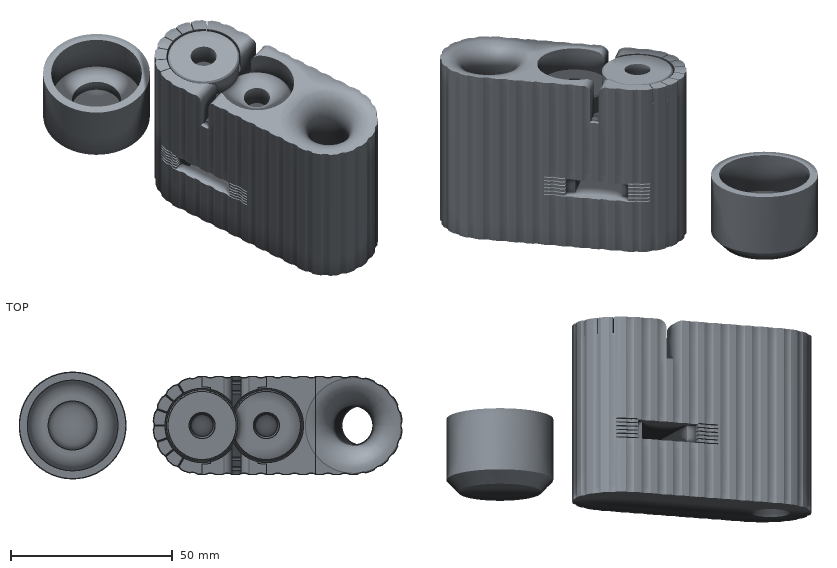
import cadquery as cq
import math

overall_length = 118.2
housing_height = 55.2
end_radius = 15.1
end_spacing = 46.7
disc_pitch = 19.8
disc_middle = disc_pitch / 2

flute_width = 3.0
flute_depth = 0.38
straight_flutes = 9
flute_pitch = end_spacing / straight_flutes
end_flute_step = 20
end_flute_half_angle = 5
end_flute_angles = range(-80, 81, end_flute_step)

disc_radius = 11.0
disc_thickness = 6.7
disc_chamfer = 0.5
disc_hole_top_diameter = 8.0
disc_hole_bottom_diameter = 6.7
disc_hole_depth = 6.1
pocket_radius = 11.5
upper_disc_floor = housing_height - disc_thickness
lower_disc_floor = upper_disc_floor - disc_thickness

notch_width = 0.4
notch_depth = 5.1
notch_angles = range(120, 241, end_flute_step)

slot_center = 10.6
slot_width = 2.7
slot_depth = 12.3
slot_lip_radius = 2.5
slot_groove_radius = 0.6
slot_groove_places = (10.3, 13.2)

opening_bottom = 17.0
window_height = 5.9
insert_bottom = opening_bottom + window_height
opening_inner_length = 14.8
opening_wall_radius = 11.9

block_face = disc_pitch + end_radius

slit_length = 6.6
slit_height = 0.4
slit_pitch = 1.2
slit_count = 6
slit_inner_face = 12.8

funnel_radius = 14.8
funnel_curve_radius = 9.0
throat_radius = 6.0
funnel_curve_center = throat_radius + funnel_curve_radius
funnel_depth = math.sqrt(funnel_curve_radius**2 - (funnel_curve_center - funnel_radius) ** 2)
throat_height = housing_height - funnel_depth
hole_shift = 2.5

cup_radius = 16.48
cup_height = 23.0
cup_base_radius = 12.9
cup_taper_height = 3.8
cup_bore_radius = 14.0
cup_bore_depth = 12.2
cup_recess_radius = 7.6
cup_recess_depth = 3.5
end_reach = end_radius * math.cos(math.radians(end_flute_half_angle))
cup_center = end_spacing + end_reach + cup_radius - overall_length


def cylinder(radius, height, x, y, z):
    return cq.Workplane("XY", origin=(x, y, z)).circle(radius).extrude(height)


def block(length, width, height, x, y, z):
    """Box centred on (x, y) that stands on height z."""
    return cq.Workplane("XY", origin=(x, y, z)).box(length, width, height, centered=(True, True, False))


def end_point(center_x, radius, angle):
    """Point at an angle around one of the two end axes."""
    turn = math.radians(angle)
    return (center_x + radius * math.cos(turn), radius * math.sin(turn))


def straight_side(outline, first_x, direction):
    """Flats and flutes along one long face, walked in the given X direction."""
    face_y = -direction * end_radius
    bottom_y = -direction * (end_radius - flute_depth)
    for index in range(straight_flutes):
        x = first_x + direction * (index + 0.5) * flute_pitch
        reach = direction * flute_width / 2
        outline = outline.lineTo(x - reach, face_y)
        outline = outline.threePointArc((x, bottom_y), (x + reach, face_y))
    return outline.lineTo(first_x + direction * end_spacing, face_y)


def round_end(outline, center_x, middle_angle):
    """Round lands and flutes around one end, walked anticlockwise."""
    land_start = middle_angle - 90
    for offset in end_flute_angles:
        angle = middle_angle + offset
        flute_start = angle - end_flute_half_angle
        flute_end = angle + end_flute_half_angle
        outline = outline.threePointArc(
            end_point(center_x, end_radius, (land_start + flute_start) / 2),
            end_point(center_x, end_radius, flute_start),
        )
        outline = outline.threePointArc(
            end_point(center_x, end_radius - flute_depth, angle),
            end_point(center_x, end_radius, flute_end),
        )
        land_start = flute_end
    return outline.threePointArc(
        end_point(center_x, end_radius, (land_start + middle_angle + 90) / 2),
        end_point(center_x, end_radius, middle_angle + 90),
    )


def fluted_blank():
    outline = cq.Workplane("XY").moveTo(0, -end_radius)
    outline = straight_side(outline, 0, 1)
    outline = round_end(outline, end_spacing, 0)
    outline = straight_side(outline, end_spacing, -1)
    outline = round_end(outline, 0, 180)
    return outline.close().extrude(housing_height)


def disc_pockets():
    upper = cylinder(pocket_radius, housing_height - upper_disc_floor, 0, 0, upper_disc_floor)
    lower = cylinder(pocket_radius, housing_height - lower_disc_floor, disc_pitch, 0, lower_disc_floor)
    return upper.union(lower)


def notches():
    cutters = cq.Workplane("XY")
    for angle in notch_angles:
        notch = block(end_radius, notch_width, notch_depth, end_radius, 0, housing_height - notch_depth)
        cutters = cutters.add(notch.rotate((0, 0, 0), (0, 0, 1), angle))
    return cutters.combine()


def lipped_slot():
    """Slot across the insert whose upper edges curve outward."""
    half = slot_width / 2
    mouth = half + slot_lip_radius
    lip_bottom = housing_height - slot_lip_radius
    bulge = slot_lip_radius * (1 - math.sqrt(0.5))
    profile = (
        cq.Workplane("XZ", origin=(slot_center, end_radius, 0))
        .moveTo(-half, housing_height - slot_depth)
        .lineTo(half, housing_height - slot_depth)
        .lineTo(half, lip_bottom)
        .threePointArc((half + bulge, housing_height - bulge), (mouth, housing_height))
        .lineTo(-mouth, housing_height)
        .threePointArc((-half - bulge, housing_height - bulge), (-half, lip_bottom))
        .close()
    )
    return profile.extrude(2 * end_radius)


def slot_floor_grooves():
    places = [(side * y, housing_height - slot_depth) for side in (-1, 1) for y in slot_groove_places]
    start = slot_center - slot_width / 2
    plane = cq.Workplane("YZ", origin=(start, 0, 0))
    return plane.pushPoints(places).circle(slot_groove_radius).extrude(slot_width)


def opening(bottom):
    """Space from a given height to the top: a straight passage with wings that wrap the disc walls."""
    width = 2 * end_radius
    height = housing_height - bottom
    passage = block(opening_inner_length, width, height, disc_middle, 0, bottom)
    wings = block(disc_pitch, width, height, disc_middle, 0, bottom)
    for x in (0, disc_pitch):
        wings = wings.cut(cylinder(opening_wall_radius, height, x, 0, bottom))
    return passage.union(wings)


def slits():
    depth = end_radius - slit_inner_face
    middle_y = slit_inner_face + depth / 2
    cutters = cq.Workplane("XY")
    for index in range(slit_count):
        z = opening_bottom + index * slit_pitch
        for x in (-slit_length / 2, disc_pitch + slit_length / 2):
            for side in (-1, 1):
                cutters = cutters.add(block(slit_length, depth, slit_height, x, side * middle_y, z))
    return cutters.combine()


def funnel():
    """Trumpet-shaped mouth whose wall curves down until it is vertical at the throat."""
    mid_x = funnel_curve_center - funnel_curve_radius * math.sqrt(0.5)
    mid_height = throat_height + funnel_curve_radius * math.sqrt(0.5)
    return (
        cq.Workplane("XZ", origin=(end_spacing, 0, 0))
        .moveTo(0, housing_height)
        .lineTo(funnel_radius, housing_height)
        .threePointArc((mid_x, mid_height), (throat_radius, throat_height))
        .lineTo(0, throat_height)
        .close()
        .revolve(360, (0, 0, 0), (0, 1, 0))
    )


def slanting_hole():
    return (
        cq.Workplane("XY", origin=(end_spacing + hole_shift, 0, 0))
        .circle(throat_radius)
        .workplane(offset=throat_height)
        .center(-hole_shift, 0)
        .circle(throat_radius)
        .loft()
    )


def make_housing(blank, pockets, mouth):
    beyond = block(overall_length, overall_length, housing_height, block_face + overall_length / 2, 0, 0)
    housing = blank.cut(beyond)
    for cutter in (pockets, mouth, notches(), opening(opening_bottom), slits()):
        housing = housing.cut(cutter)
    return housing


def make_funnel_block(blank, mouth):
    before = block(overall_length, overall_length, housing_height, block_face - overall_length / 2, 0, 0)
    return blank.cut(before).cut(mouth).cut(slanting_hole())


def make_insert(blank, pockets):
    """Slotted block in the upper part of the housing opening, flush with its fluted faces."""
    return blank.intersect(opening(insert_bottom)).cut(pockets).cut(lipped_slot()).cut(slot_floor_grooves())


def make_disc(x, floor):
    """Disc with chamfered rims and a tapering blind hole in its top."""
    hole = (
        cq.Workplane("XY", origin=(x, 0, floor + disc_thickness - disc_hole_depth))
        .circle(disc_hole_bottom_diameter / 2)
        .workplane(offset=disc_hole_depth)
        .circle(disc_hole_top_diameter / 2)
        .loft()
    )
    blank = cylinder(disc_radius, disc_thickness, x, 0, floor)
    return blank.faces("<Z or >Z").edges().chamfer(disc_chamfer).cut(hole)


def make_cup():
    """Round cup with a tapered base, a wide bore and a recess in its floor."""
    taper = (
        cq.Workplane("XY", origin=(cup_center, 0, 0))
        .circle(cup_base_radius)
        .workplane(offset=cup_taper_height)
        .circle(cup_radius)
        .loft()
    )
    floor = cup_height - cup_bore_depth
    wall = cylinder(cup_radius, cup_height - cup_taper_height, cup_center, 0, cup_taper_height)
    bore = cylinder(cup_bore_radius, cup_bore_depth, cup_center, 0, floor)
    recess = cylinder(cup_recess_radius, cup_recess_depth, cup_center, 0, floor - cup_recess_depth)
    return taper.union(wall).cut(bore).cut(recess)


blank = fluted_blank()
pockets = disc_pockets()
mouth = funnel()
housing = make_housing(blank, pockets, mouth)
funnel_block = make_funnel_block(blank, mouth)
insert = make_insert(blank, pockets)
cup = make_cup()
disc_places = [(0, upper_disc_floor), (disc_pitch, lower_disc_floor)]
discs = [make_disc(x, floor).solids().val() for x, floor in disc_places]

result = cq.Compound.makeCompound(
    [
        *housing.solids().vals(),
        *funnel_block.solids().vals(),
        *insert.solids().vals(),
        *cup.solids().vals(),
        *discs,
    ]
)